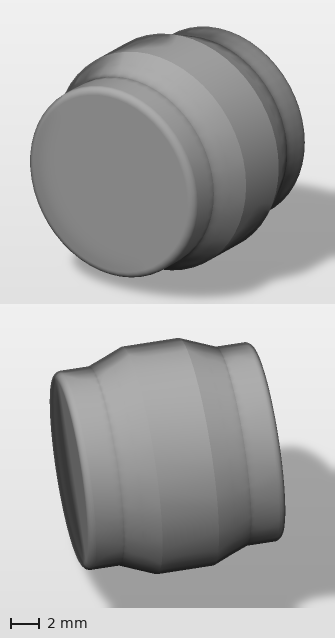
import cadquery as cq

belly_diameter = 16.0
end_diameter = 14.0
belly_length = 4.0
cone_length = 2.5
end_length = 2.5
edge_radius = 0.5

belly_radius = belly_diameter / 2
end_radius = end_diameter / 2
belly_y = belly_length / 2
cone_y = belly_y + cone_length
end_y = cone_y + end_length


def make_body():
    """Revolve the half profile (X is radius, Y is length) about the Y axis."""
    profile = (
        cq.Workplane("XY")
        .moveTo(0, -end_y)
        .lineTo(end_radius, -end_y)
        .lineTo(end_radius, -cone_y)
        .lineTo(belly_radius, -belly_y)
        .lineTo(belly_radius, belly_y)
        .lineTo(end_radius, cone_y)
        .lineTo(end_radius, end_y)
        .lineTo(0, end_y)
        .close()
    )
    return profile.revolve(360, (0, 0, 0), (0, 1, 0))


def round_end_edges(body):
    """Round the rim of both flat end faces."""
    return body.faces("<Y or >Y").edges().fillet(edge_radius)


result = round_end_edges(make_body())